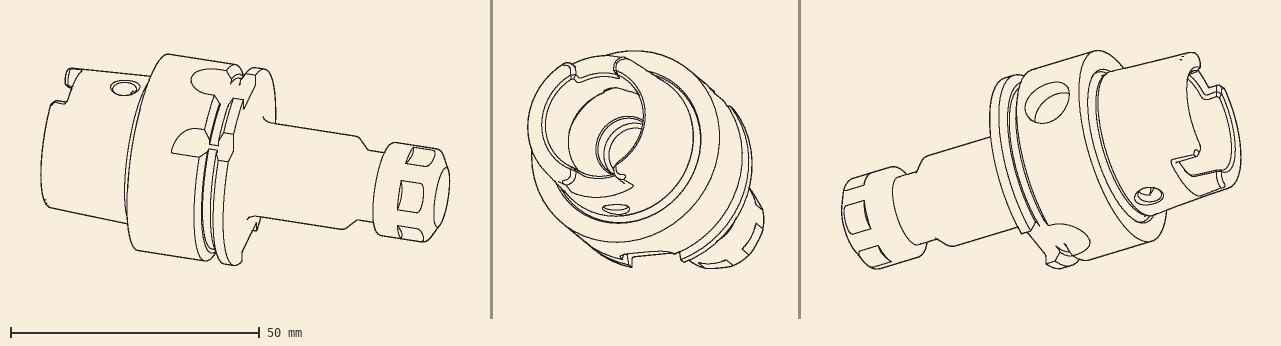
import cadquery as cq
import math

TOTAL_LENGTH = 79.9
TOLERANCE = 0.01

TAPER_BIG_RADIUS = 15.1
TAPER_SLOPE = 0.05
TAPER_END = 17.9
SHANK_EDGE_FILLET = 0.8
RELIEF_RADIUS = 14.8
RELIEF_START = 18.5
FACE_RECESS_RADIUS = 16.05
FACE_RECESS_FLOOR_RADIUS = 15.75
FACE_RECESS_DEPTH = 0.6

FLANGE_RADIUS = 20.015
FLANGE_START = 19.7
FLANGE_LENGTH = 20.05
FLANGE_END = FLANGE_START + FLANGE_LENGTH
GROOVE_CENTER = 35.7
GROOVE_FLOOR_WIDTH = 1.8
GROOVE_MOUTH_WIDTH = 4.0
GROOVE_FLOOR_RADIUS = 17.4
GROOVE_STEP_RADIUS = 18.2

BARREL_RADIUS = 9.5
BARREL_ROOT_FILLET = 3.0
BARREL_END = 60.8
NECK_RADIUS = 7.1
SHOULDER_FILLET = 0.95
NUT_START = 67.9

BORE_MOUTH_RADIUS = 10.5
BORE_MOUTH_CHAMFER = 0.55
BORE_RADIUS = 9.9
BORE_CONE_END = 7.2
CLAMP_CONE_START = 13.2
CLAMP_CONE_ANGLE = 60.0
CLAMP_RADIUS = 12.8
BORE_FLOOR = FLANGE_START
COOLANT_RADIUS = 6.0
COOLANT_CHAMFER = 0.3
COOLANT_TIP_RADIUS = 5.2
COOLANT_DEPTH = 4.8

DRIVE_SLOT_WIDTH = 8.1
DRIVE_SLOT_TOP_DEPTH = 3.35
DRIVE_SLOT_BOTTOM_DEPTH = 6.0
DRIVE_SLOT_STRAIGHT_HEIGHT = 10.8
DRIVE_SLOT_CORNER_RADIUS = 2.1
DRIVE_SLOT_FLOOR_FILLET = 0.6
DRIVE_SLOT_CHAMFER = 0.8

CROSS_HOLE_X = 13.75
CROSS_HOLE_RADIUS = 2.4
CROSS_HOLE_MOUTH_RADIUS = 2.95

KEYWAY_START = 27.8
KEYWAY_FLOOR = 17.0
KEYWAY_FLOOR_FILLET = 0.4
TOP_KEYWAY_WIDTH = 9.0
BOTTOM_KEYWAY_WIDTH = 11.0
NOTCH_OFFSET = 12.0
CHIP_HOLE_X = 26.85
CHIP_HOLE_RADIUS = 4.95
CHIP_HOLE_DEPTH = 4.5

NUT_RADIUS = 9.5
NUT_REAR_FILLET = 0.95
NUT_FLAT_COUNT = 6
NUT_FLAT_DISTANCE = 9.0
NUT_FLATS_START = 73.2
NUT_NOSE_START = 77.9
NUT_NOSE_ANGLE = 30.0
NUT_NOSE_FILLET = 1.2


def turned(points):
    """Solid of revolution about X from (x, radius) points."""
    return cq.Workplane("XY").polyline(points).close().revolve(360, (0, 0, 0), (1, 0, 0))


def fillet_rim(solid, x, radius, fillet_radius):
    """Round the circular edge of the given radius that lies at x."""
    def is_rim(edge):
        return abs(edge.Center().x - x) < TOLERANCE and abs(edge.radius() - radius) < TOLERANCE

    rim = solid.edges("%CIRCLE").filter(is_rim)
    return rim.fillet(fillet_radius)


def holder_blank():
    tip_radius = TAPER_BIG_RADIUS - TAPER_SLOPE * TAPER_END
    floor_half = GROOVE_FLOOR_WIDTH / 2
    mouth_half = GROOVE_MOUTH_WIDTH / 2
    recess_floor = FLANGE_START + FACE_RECESS_DEPTH
    shoulder_end = BARREL_END + BARREL_RADIUS - NECK_RADIUS
    blank = turned([
        (0, 0),
        (0, tip_radius),
        (TAPER_END, TAPER_BIG_RADIUS),
        (RELIEF_START, RELIEF_RADIUS),
        (recess_floor, RELIEF_RADIUS),
        (recess_floor, FACE_RECESS_FLOOR_RADIUS),
        (FLANGE_START, FACE_RECESS_RADIUS),
        (FLANGE_START, FLANGE_RADIUS),
        (GROOVE_CENTER - mouth_half, FLANGE_RADIUS),
        (GROOVE_CENTER - floor_half, GROOVE_STEP_RADIUS),
        (GROOVE_CENTER - floor_half, GROOVE_FLOOR_RADIUS),
        (GROOVE_CENTER + floor_half, GROOVE_FLOOR_RADIUS),
        (GROOVE_CENTER + floor_half, GROOVE_STEP_RADIUS),
        (GROOVE_CENTER + mouth_half, FLANGE_RADIUS),
        (FLANGE_END, FLANGE_RADIUS),
        (FLANGE_END, BARREL_RADIUS),
        (BARREL_END, BARREL_RADIUS),
        (shoulder_end, NECK_RADIUS),
        (NUT_START, NECK_RADIUS),
        (NUT_START, 0),
    ])
    blank = fillet_rim(blank, 0, tip_radius, SHANK_EDGE_FILLET)
    blank = fillet_rim(blank, recess_floor, RELIEF_RADIUS, FACE_RECESS_DEPTH)
    blank = fillet_rim(blank, FLANGE_END, BARREL_RADIUS, BARREL_ROOT_FILLET)
    blank = fillet_rim(blank, BARREL_END, BARREL_RADIUS, SHOULDER_FILLET)
    return fillet_rim(blank, shoulder_end, NECK_RADIUS, SHOULDER_FILLET)


def bore():
    clamp_cone_length = (CLAMP_RADIUS - BORE_RADIUS) / math.tan(math.radians(CLAMP_CONE_ANGLE))
    coolant_end = BORE_FLOOR + COOLANT_DEPTH
    tip_length = COOLANT_RADIUS - COOLANT_TIP_RADIUS
    return turned([
        (0, 0),
        (0, BORE_MOUTH_RADIUS),
        (BORE_CONE_END, BORE_RADIUS),
        (CLAMP_CONE_START, BORE_RADIUS),
        (CLAMP_CONE_START + clamp_cone_length, CLAMP_RADIUS),
        (BORE_FLOOR, CLAMP_RADIUS),
        (BORE_FLOOR, COOLANT_RADIUS + COOLANT_CHAMFER),
        (BORE_FLOOR + COOLANT_CHAMFER, COOLANT_RADIUS),
        (coolant_end - tip_length, COOLANT_RADIUS),
        (coolant_end, COOLANT_TIP_RADIUS),
        (coolant_end, 0),
    ])


def drive_slot_outline(sketch_plane, widening=0.0):
    """Cross-section of a drive slot; the walls flare round the outer edge of the shank."""
    flare_half = DRIVE_SLOT_WIDTH / 2 + DRIVE_SLOT_CORNER_RADIUS
    corner_radius = DRIVE_SLOT_CORNER_RADIUS - widening
    half = flare_half - corner_radius
    bend = DRIVE_SLOT_STRAIGHT_HEIGHT
    flare = bend + corner_radius
    mid_y = flare_half - corner_radius * math.sqrt(0.5)
    mid_z = bend + corner_radius * math.sqrt(0.5)
    return (
        sketch_plane
        .moveTo(-half, 0)
        .lineTo(half, 0)
        .lineTo(half, bend)
        .threePointArc((mid_y, mid_z), (flare_half, flare))
        .lineTo(FLANGE_RADIUS, flare)
        .lineTo(FLANGE_RADIUS, FLANGE_RADIUS)
        .lineTo(-FLANGE_RADIUS, FLANGE_RADIUS)
        .lineTo(-FLANGE_RADIUS, flare)
        .lineTo(-flare_half, flare)
        .threePointArc((-mid_y, mid_z), (-half, bend))
        .close()
    )


def drive_slot(depth):
    """Slot cut from the open end toward +Z, chamfered where it meets the end face."""
    end_face = cq.Workplane("YZ")
    slot = drive_slot_outline(end_face).extrude(depth)
    slot = slot.faces(">X").edges().fillet(DRIVE_SLOT_FLOOR_FILLET)
    wide_end = drive_slot_outline(cq.Workplane("YZ"), widening=DRIVE_SLOT_CHAMFER)
    chamfer_plane = wide_end.workplane(offset=DRIVE_SLOT_CHAMFER, origin=(0, 0, 0))
    mouth = drive_slot_outline(chamfer_plane).loft(ruled=True)
    return slot.union(mouth)


def cross_hole():
    mouth_depth = CROSS_HOLE_MOUTH_RADIUS - CROSS_HOLE_RADIUS
    surface = TAPER_BIG_RADIUS - TAPER_SLOPE * (TAPER_END - CROSS_HOLE_X)
    top = surface + mouth_depth
    hole = (
        cq.Workplane("XZ")
        .polyline([
            (0, -top),
            (CROSS_HOLE_RADIUS + 2 * mouth_depth, -top),
            (CROSS_HOLE_RADIUS, -surface + mouth_depth),
            (CROSS_HOLE_RADIUS, surface - mouth_depth),
            (CROSS_HOLE_RADIUS + 2 * mouth_depth, top),
            (0, top),
        ])
        .close()
        .revolve(360, (0, 0, 0), (0, 1, 0))
    )
    return hole.translate((CROSS_HOLE_X, 0, 0))


def keyway(width, floor, center_y=0.0):
    """Round-ended keyway open at the rear of the flange, cut from +Z down to the floor."""
    end_x = KEYWAY_START + width / 2
    height = FLANGE_RADIUS - floor
    round_end = cq.Workplane("XY").circle(width / 2).extrude(height)
    run = cq.Workplane("XY").box(FLANGE_END - end_x, width, height, centered=(False, True, False))
    keyway_cutter = round_end.union(run)
    keyway_cutter = keyway_cutter.faces("<Z").edges("not >X").fillet(KEYWAY_FLOOR_FILLET)
    return keyway_cutter.translate((end_x, center_y, floor))


def chip_hole():
    plane = cq.Workplane("XZ", origin=(CHIP_HOLE_X, FLANGE_RADIUS, 0))
    return plane.circle(CHIP_HOLE_RADIUS).extrude(CHIP_HOLE_DEPTH)


def upside_down(cutter):
    return cutter.rotate((0, 0, 0), (1, 0, 0), 180)


def chamfer_bore_mouth(holder):
    """Break the edge of the conical bore along the end face and along both drive slots."""
    def is_mouth_cone(face):
        bounds = face.BoundingBox()
        spans_cone = abs(bounds.xmax - BORE_CONE_END) < TOLERANCE and bounds.xmin < TOLERANCE
        return spans_cone and bounds.zmax < BORE_MOUTH_RADIUS + TOLERANCE

    def is_mouth_edge(edge):
        return edge.geomType() != "LINE" and edge.Center().x < BORE_CONE_END - TOLERANCE

    mouth = holder.faces("%CONE").filter(is_mouth_cone).edges().filter(is_mouth_edge)
    return mouth.chamfer(BORE_MOUTH_CHAMFER)


def make_holder():
    notch_center_y = -NOTCH_OFFSET - TOP_KEYWAY_WIDTH / 2
    cutters = [
        bore(),
        drive_slot(DRIVE_SLOT_TOP_DEPTH),
        upside_down(drive_slot(DRIVE_SLOT_BOTTOM_DEPTH)),
        cross_hole(),
        keyway(TOP_KEYWAY_WIDTH, KEYWAY_FLOOR),
        upside_down(keyway(BOTTOM_KEYWAY_WIDTH, KEYWAY_FLOOR)),
        keyway(TOP_KEYWAY_WIDTH, NOTCH_OFFSET, notch_center_y),
        chip_hole(),
    ]
    holder = holder_blank()
    for cutter in cutters:
        holder = holder.cut(cutter)
    return chamfer_bore_mouth(holder)


def flats_cutter():
    """Ring outside the flats, with a 45 degree conical rear end."""
    cone_length = NUT_RADIUS - NUT_FLAT_DISTANCE
    ring = turned([
        (NUT_FLATS_START, NUT_RADIUS),
        (NUT_FLATS_START + cone_length, NUT_FLAT_DISTANCE),
        (TOTAL_LENGTH, NUT_FLAT_DISTANCE),
        (TOTAL_LENGTH, NUT_RADIUS),
    ])
    corner_circle = 2 * NUT_FLAT_DISTANCE / math.cos(math.pi / NUT_FLAT_COUNT)
    prism = cq.Workplane("YZ").polygon(NUT_FLAT_COUNT, corner_circle).extrude(TOTAL_LENGTH)
    return ring.cut(prism)


def make_nut():
    nose_length = TOTAL_LENGTH - NUT_NOSE_START
    nose_radius = NUT_RADIUS - nose_length / math.tan(math.radians(NUT_NOSE_ANGLE))
    nut = turned([
        (NUT_START, 0),
        (NUT_START, NUT_RADIUS),
        (NUT_NOSE_START, NUT_RADIUS),
        (TOTAL_LENGTH, nose_radius),
        (TOTAL_LENGTH, 0),
    ])
    nut = fillet_rim(nut, NUT_START, NUT_RADIUS, NUT_REAR_FILLET)
    nut = fillet_rim(nut, NUT_NOSE_START, NUT_RADIUS, NUT_NOSE_FILLET)
    return nut.cut(flats_cutter())


holder = make_holder()
nut = make_nut()

result = cq.Compound.makeCompound([holder.val(), nut.val()])